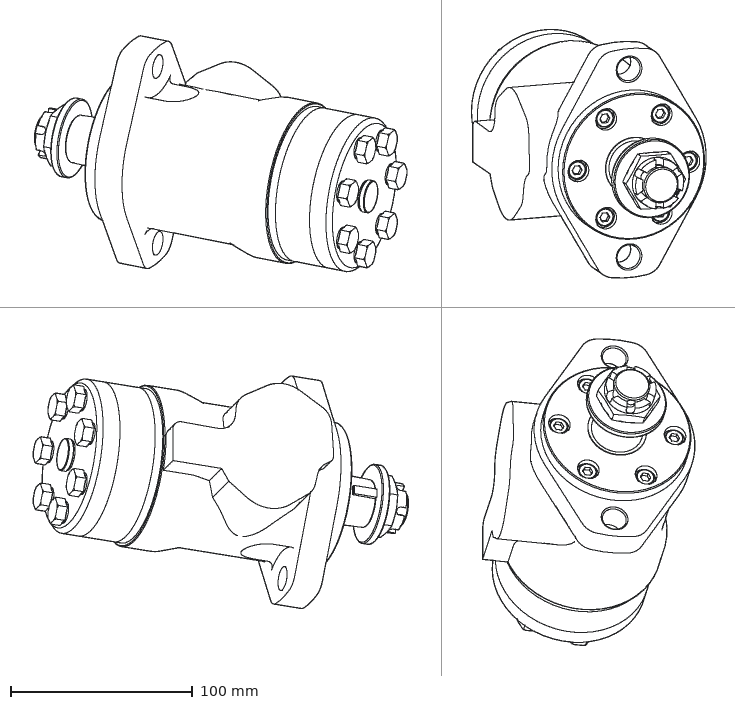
import cadquery as cq
import math


SHAFT_R = 14.3
THREAD_R = 10.0
THREAD_TIP_R = 9.2
TAPER_SMALL_R = 13.3
TAPER_CHAMFER = 0.6
TAPER_END_X = 44.5
SHAFT_END_X = 61.3
PIN_HOLE_D = 4.5
PIN_HOLE_X = 3.5

KEY_WIDTH = 5.0
KEY_START_X = 21.3
KEY_END_X = 35.0
KEY_BOTTOM_Y = 10.2
KEY_TOP_Y = 15.3
KEY_CHAMFER = 0.6

CASTLE_FRONT_X = 3.0
CASTLE_D = 28.0
CASTLE_R = CASTLE_D / 2
HEX_FRONT_X = 8.5
NUT_FLATS = 30.0
NUT_CHAMFER_LENGTH = 1.0
SLOT_COUNT = 6
SLOT_W = 4.5
SLOT_BOTTOM_X = 8.2
WASHER_FRONT_X = 16.0
WASHER_BACK_X = 20.6
WASHER_R = 22.0
WASHER_CHAMFER = 0.6

PILOT_FRONT_X = 46.2
PILOT_R = 41.3
PILOT_CHAMFER = 0.6
SEAL_RECESS_R = 16.4
SEAL_RECESS_DEPTH = 0.6
FLANGE_FRONT_X = 54.4
FLANGE_BACK_X = 71.0
FLANGE_R = 45.0
FLANGE_HEIGHT = 129.8
FLANGE_SLOPE = 30.0
FLANGE_CORNER_R = 11.0
MOUNT_HOLE_D = 13.3
MOUNT_HOLE_Z = 53.2
MOUNT_HOLE_CHAMFER = 0.8
SCALLOP_R = 29.6
SCALLOP_Z = 66.2
SCALLOP_END_X = 80.3

SCREW_COUNT = 6
SCREW_CIRCLE_R = 32.3
COUNTERBORE_D = 12.0
COUNTERBORE_DEPTH = 3.7
SCREW_HEAD_D = 10.0
SCREW_HEAD_SINK = 2.0
SCREW_HEAD_CHAMFER = 0.5
SOCKET_FLATS = 5.0
SOCKET_DEPTH = 2.5

BARREL_R = 40.5
BARREL_FILLET = 4.0
FLARE_START_X = 125.5
FLARE_CONE_START = (128.5, 41.3)
FLARE_CONE_END = (138.0, 44.4)
FLARE_END_X = 141.0
HOUSING_R = 45.0
HOUSING_STEP_X = 159.3
HOUSING_EDGE_CHAMFER = 0.51

PORT_FACE_Y = 55.0
UPPER_LOBE_X = 92.5
UPPER_CREST_HALF = 10.0
UPPER_CREST_Z = 35.2
UPPER_SHOULDER_HALF = 22.0
UPPER_SHOULDER_Z = 28.0
BLOCK_FRONT_X = 62.8
UPPER_FRONT_TOP = (64.0, 18.5)
UPPER_BACK_TOP = (120.5, 20.5)
UPPER_BACK_BOTTOM = (121.0, 14.1)
WING_START = (131.2, 4.7)
WING_CORNER_START = (153.0, 5.1)
WING_END_X = 158.0
LOWER_LOBE_X = 101.4
LOWER_CREST_HALF = 12.9
LOWER_CREST_Z = -34.0
LOWER_SHOULDER_HALF = 23.5
LOWER_SHOULDER_Z = -26.0
LOWER_SIDE_HALF = 27.8
LOWER_SIDE_Z = -19.0
WAIST = (72.4, -13.5)
FRONT_LIP = (65.6, -5.0)

REAR_D = 86.0
REAR_R = REAR_D / 2
SPACER_END_X = 163.7
GEAR_END_X = 184.5
COVER_END_X = 197.3
COVER_CHAMFER = 2.7
BOLT_COUNT = 7
BOLT_CIRCLE_R = 32.0
BOLT_FLATS = 13.0
BOLT_COLLAR_D = 12.0
BOLT_COLLAR_END_X = 198.5
BOLT_END_X = 204.5
BOLT_CHAMFER = 0.6
PLUG_R = 9.0
PLUG_NECK_R = 8.4
PLUG_NECK_END_X = 198.3
PLUG_END_X = 201.4
PLUG_CHAMFER = 0.5


def disc(radius, start_x, end_x):
    return cq.Workplane("YZ", origin=(start_x, 0, 0)).circle(radius).extrude(end_x - start_x)


def hexagon(flats, start_x, end_x):
    """Hexagonal prism along X with two flats facing up and down."""
    corners = flats / math.cos(math.pi / 6)
    return cq.Workplane("YZ", origin=(start_x, 0, 0)).polygon(6, corners).extrude(end_x - start_x)


def turned(points):
    """Body of revolution about X from (x, radius) points."""
    return cq.Workplane("XY").polyline(points).close().revolve(360, (0, 0, 0), (1, 0, 0))


def circle_places(count, radius):
    """Evenly spaced (y, z) places on a circle about the motor axis."""
    angles = [math.radians(360.0 * i / count) for i in range(count)]
    return [(radius * math.cos(a), radius * math.sin(a)) for a in angles]


def make_key():
    length = KEY_END_X - KEY_START_X
    middle_x = (KEY_START_X + KEY_END_X) / 2
    key = cq.Workplane("XY").box(length, KEY_TOP_Y - KEY_BOTTOM_Y, KEY_WIDTH)
    key = key.translate((middle_x, (KEY_TOP_Y + KEY_BOTTOM_Y) / 2, 0))
    return key.faces(">Y").edges(">X").chamfer(KEY_CHAMFER)


def make_shaft():
    """Tapered shaft with a threaded end, a cross hole for a split pin and its key."""
    tip = THREAD_R - THREAD_TIP_R
    shaft = turned([
        (0, 0),
        (0, THREAD_TIP_R),
        (tip, THREAD_R),
        (WASHER_BACK_X, THREAD_R),
        (WASHER_BACK_X, TAPER_SMALL_R - TAPER_CHAMFER),
        (WASHER_BACK_X + TAPER_CHAMFER, TAPER_SMALL_R),
        (TAPER_END_X, SHAFT_R),
        (SHAFT_END_X, SHAFT_R),
        (SHAFT_END_X, 0),
    ])
    pin_hole = cq.Workplane("XY").center(PIN_HOLE_X, 0).circle(PIN_HOLE_D / 2).extrude(SHAFT_R, both=True)
    return shaft.cut(pin_hole).union(make_key())


def make_nut():
    corner_r = NUT_FLATS / math.sqrt(3)
    back_r = NUT_FLATS / 2
    chamfer_cone = turned([
        (HEX_FRONT_X, 0),
        (HEX_FRONT_X, CASTLE_R),
        (HEX_FRONT_X + NUT_CHAMFER_LENGTH, corner_r),
        (WASHER_FRONT_X - NUT_CHAMFER_LENGTH, corner_r),
        (WASHER_FRONT_X, back_r),
        (WASHER_FRONT_X, 0),
    ])
    nut = hexagon(NUT_FLATS, HEX_FRONT_X, WASHER_FRONT_X).intersect(chamfer_cone)
    nut = nut.union(disc(CASTLE_R, CASTLE_FRONT_X, HEX_FRONT_X))
    nut = nut.cut(disc(THREAD_R, CASTLE_FRONT_X, WASHER_FRONT_X))

    round_x = SLOT_BOTTOM_X - SLOT_W / 2
    slot = cq.Workplane("XY").center(round_x, 0).circle(SLOT_W / 2).extrude(NUT_FLATS)
    opening = cq.Workplane("XY").box(round_x, SLOT_W, NUT_FLATS, centered=(False, True, False))
    slot = slot.union(opening)
    for i in range(SLOT_COUNT):
        nut = nut.cut(slot.rotate((0, 0, 0), (1, 0, 0), 360.0 * i / SLOT_COUNT))
    return nut


def make_washer():
    washer = disc(WASHER_R, WASHER_FRONT_X, WASHER_BACK_X).edges().chamfer(WASHER_CHAMFER)
    return washer.cut(disc(THREAD_R, WASHER_FRONT_X, WASHER_BACK_X))


def make_barrel():
    """Turned housing from the flange back to the spacer rim."""
    slope = BARREL_FILLET * math.sqrt(0.5)
    fillet_x = FLANGE_BACK_X + BARREL_FILLET
    fillet_r = BARREL_R + BARREL_FILLET
    return (
        cq.Workplane("XY")
        .moveTo(FLANGE_FRONT_X, 0)
        .lineTo(FLANGE_FRONT_X, BARREL_R)
        .lineTo(FLANGE_BACK_X, fillet_r)
        .threePointArc((fillet_x - slope, fillet_r - slope), (fillet_x, BARREL_R))
        .lineTo(FLARE_START_X, BARREL_R)
        .tangentArcPoint(FLARE_CONE_START, relative=False)
        .lineTo(*FLARE_CONE_END)
        .tangentArcPoint((FLARE_END_X, HOUSING_R), relative=False)
        .lineTo(HOUSING_STEP_X - HOUSING_EDGE_CHAMFER, HOUSING_R)
        .lineTo(HOUSING_STEP_X, HOUSING_R - HOUSING_EDGE_CHAMFER)
        .lineTo(HOUSING_STEP_X, REAR_R)
        .lineTo(SPACER_END_X, REAR_R)
        .lineTo(SPACER_END_X, 0)
        .close()
        .revolve(360, (0, 0, 0), (1, 0, 0))
    )


def make_flange():
    """Two-hole flange: round middle, tangent sloping sides and rounded ends."""
    tip_z = FLANGE_HEIGHT / 2
    slope = math.radians(FLANGE_SLOPE)
    tangent_y = FLANGE_R * math.cos(slope)
    tangent_z = FLANGE_R * math.sin(slope)
    along = math.sqrt(tip_z ** 2 - FLANGE_R ** 2)
    corner_y = tangent_y - along * math.sin(slope)
    corner_z = tangent_z + along * math.cos(slope)
    flange = (
        cq.Workplane("YZ", origin=(FLANGE_FRONT_X, 0, 0))
        .moveTo(tangent_y, tangent_z)
        .lineTo(corner_y, corner_z)
        .threePointArc((0, tip_z), (-corner_y, corner_z))
        .lineTo(-tangent_y, tangent_z)
        .threePointArc((-FLANGE_R, 0), (-tangent_y, -tangent_z))
        .lineTo(-corner_y, -corner_z)
        .threePointArc((0, -tip_z), (corner_y, -corner_z))
        .lineTo(tangent_y, -tangent_z)
        .threePointArc((FLANGE_R, 0), (tangent_y, tangent_z))
        .close()
        .extrude(FLANGE_BACK_X - FLANGE_FRONT_X)
    )
    flange = flange.edges("|X").edges(">Z or <Z").fillet(FLANGE_CORNER_R)
    hole = disc(MOUNT_HOLE_D / 2, FLANGE_FRONT_X, FLANGE_BACK_X)
    for z in (MOUNT_HOLE_Z, -MOUNT_HOLE_Z):
        flange = flange.cut(hole.translate((0, 0, z)))
    front_rims = flange.faces("<X").edges(cq.selectors.RadiusNthSelector(0))
    return front_rims.chamfer(MOUNT_HOLE_CHAMFER)


def make_port_block():
    """Lobed block that carries the port face on the +Y side."""
    return (
        cq.Workplane("XZ")
        .moveTo(BLOCK_FRONT_X, 0)
        .lineTo(*UPPER_FRONT_TOP)
        .tangentArcPoint((UPPER_LOBE_X - UPPER_SHOULDER_HALF, UPPER_SHOULDER_Z), relative=False)
        .lineTo(UPPER_LOBE_X - UPPER_CREST_HALF, UPPER_CREST_Z)
        .tangentArcPoint((UPPER_LOBE_X + UPPER_CREST_HALF, UPPER_CREST_Z), relative=False)
        .lineTo(UPPER_LOBE_X + UPPER_SHOULDER_HALF, UPPER_SHOULDER_Z)
        .tangentArcPoint(UPPER_BACK_TOP, relative=False)
        .lineTo(*UPPER_BACK_BOTTOM)
        .tangentArcPoint(WING_START, relative=False)
        .lineTo(*WING_CORNER_START)
        .tangentArcPoint((WING_END_X, 0), relative=False)
        .lineTo(WING_END_X, LOWER_SIDE_Z)
        .lineTo(LOWER_LOBE_X + LOWER_SIDE_HALF, LOWER_SIDE_Z)
        .lineTo(LOWER_LOBE_X + LOWER_SHOULDER_HALF, LOWER_SHOULDER_Z)
        .lineTo(LOWER_LOBE_X + LOWER_CREST_HALF, LOWER_CREST_Z)
        .tangentArcPoint((LOWER_LOBE_X - LOWER_CREST_HALF, LOWER_CREST_Z), relative=False)
        .lineTo(LOWER_LOBE_X - LOWER_SHOULDER_HALF, LOWER_SHOULDER_Z)
        .tangentArcPoint((LOWER_LOBE_X - LOWER_SIDE_HALF, LOWER_SIDE_Z), relative=False)
        .lineTo(*WAIST)
        .tangentArcPoint(FRONT_LIP, relative=False)
        .tangentArcPoint((BLOCK_FRONT_X, 0), relative=False)
        .close()
        .extrude(-PORT_FACE_Y)
    )


def make_scallop():
    """Round-ended clearance for the head of a mounting bolt."""
    groove = disc(SCALLOP_R, FLANGE_BACK_X, SCALLOP_END_X)
    dome = cq.Workplane("XY").sphere(SCALLOP_R).translate((SCALLOP_END_X, 0, 0))
    dome = dome.intersect(disc(SCALLOP_R, SCALLOP_END_X, SCALLOP_END_X + SCALLOP_R))
    groove = groove.union(dome)
    return groove.translate((0, 0, SCALLOP_Z))


def make_housing(shaft):
    """Pilot, flange, barrel, port block and spacer rim, with the sunk screws and the shaft's seat."""
    scallop = make_scallop()
    housing = make_barrel().cut(scallop).cut(scallop.mirror("XY"))
    pilot = disc(PILOT_R, PILOT_FRONT_X, FLANGE_FRONT_X).faces("<X").chamfer(PILOT_CHAMFER)
    housing = housing.union(make_flange()).union(pilot).union(make_port_block())
    housing = housing.cut(disc(SEAL_RECESS_R, PILOT_FRONT_X, PILOT_FRONT_X + SEAL_RECESS_DEPTH))

    counterbore = disc(COUNTERBORE_D / 2, PILOT_FRONT_X, PILOT_FRONT_X + COUNTERBORE_DEPTH)
    head_x = PILOT_FRONT_X + SCREW_HEAD_SINK
    head = disc(SCREW_HEAD_D / 2, head_x, PILOT_FRONT_X + COUNTERBORE_DEPTH)
    head = head.faces("<X").chamfer(SCREW_HEAD_CHAMFER)
    socket = hexagon(SOCKET_FLATS, head_x, head_x + SOCKET_DEPTH)
    for y, z in circle_places(SCREW_COUNT, SCREW_CIRCLE_R):
        housing = housing.cut(counterbore.translate((0, y, z)))
        housing = housing.union(head.translate((0, y, z)))
        housing = housing.cut(socket.translate((0, y, z)))
    return housing.cut(shaft)


def make_gear_set():
    return disc(REAR_R, SPACER_END_X, GEAR_END_X)


def make_end_cover():
    """End cover with its bolts and the centre plug."""
    cover = disc(REAR_R, GEAR_END_X, COVER_END_X).faces(">X").chamfer(COVER_CHAMFER)
    plug = disc(PLUG_R, PLUG_NECK_END_X, PLUG_END_X).faces(">X").chamfer(PLUG_CHAMFER)
    plug = plug.union(disc(PLUG_NECK_R, COVER_END_X, PLUG_NECK_END_X))
    cover = cover.union(plug)
    collar = disc(BOLT_COLLAR_D / 2, COVER_END_X, BOLT_COLLAR_END_X)
    crown = disc(BOLT_FLATS / math.sqrt(3), BOLT_COLLAR_END_X, BOLT_END_X)
    crown = crown.faces(">X").chamfer(BOLT_CHAMFER)
    bolt = hexagon(BOLT_FLATS, BOLT_COLLAR_END_X, BOLT_END_X).intersect(crown).union(collar)
    for y, z in circle_places(BOLT_COUNT, BOLT_CIRCLE_R):
        cover = cover.union(bolt.translate((0, y, z)))
    return cover


shaft = make_shaft()
nut = make_nut()
washer = make_washer()
housing = make_housing(shaft)
gear_set = make_gear_set()
end_cover = make_end_cover()

result = cq.Compound.makeCompound(
    [housing.val(), gear_set.val(), end_cover.val(), shaft.val(), washer.val(), nut.val()]
)